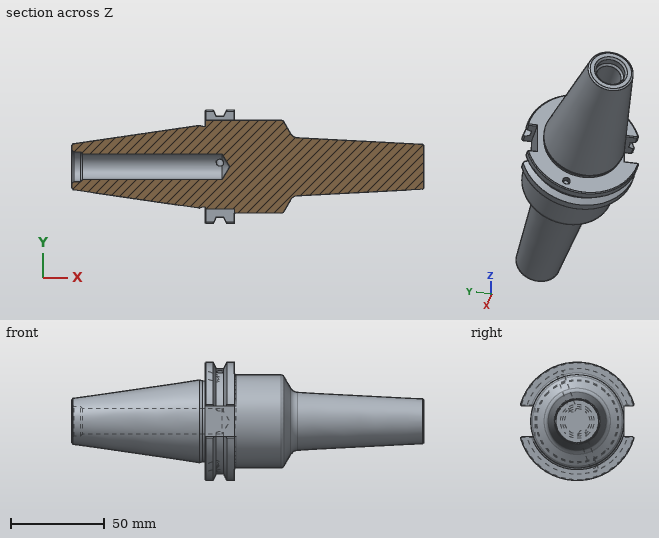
import cadquery as cq
import math

total_length = 188.2
taper_length = 68.3
relief_end = 70.0
flange_start = 71.3
flange_end = 87.0
body_corner = 113.0

gauge_radius = 22.2
taper_on_diameter = 7 / 24
shank_end_radius = gauge_radius - taper_length * taper_on_diameter / 2
neck_radius = 21.6
end_chamfer = 0.5
shank_end_bevel = 1.0

flange_diameter = 63.5
flange_radius = flange_diameter / 2
flange_chamfer = 0.5
groove_centre = 79.3
groove_floor_radius = 28.2
groove_floor_width = 4.0
groove_mouth_width = 7.3

slot_width = 16.2
slot_floor_minus_y = 22.5
slot_floor_plus_y = 25.0
slot_mouth_chamfer = 1.1
slot_face_chamfer = 0.5

body_diameter = 49.9
body_radius = body_diameter / 2
body_root_fillet = 1.0
shoulder_angle = 60.0
shoulder_outer_fillet = 1.9
shoulder_inner_fillet = 4.3
nose_end_radius = 12.0
nose_angle = 3.0

cut_clearance = 1.9
pick_margin = 0.2

bore_mouth_chamfer = 1.1
counterbore_radius = 8.0
bore_mouth_radius = counterbore_radius + bore_mouth_chamfer
counterbore_depth = 4.7
bore_radius = 6.8
bore_start = counterbore_depth + counterbore_radius - bore_radius
bore_depth = 80.4
bore_tip_angle = 118.0

coolant_diameter = 4.0
coolant_radius = coolant_diameter / 2
coolant_roll = 20.0
coolant_entry_radius = 26.7
coolant_slant = 20.0


def revolve_about_x(points):
    """Solid of revolution about X from (x, radius) points."""
    return cq.Workplane("XY").polyline(points).close().revolve(360, (0, 0, 0), (1, 0, 0))


def make_shank():
    return revolve_about_x([
        (0, 0),
        (0, shank_end_radius - shank_end_bevel),
        (end_chamfer, shank_end_radius + end_chamfer * taper_on_diameter / 2),
        (taper_length, gauge_radius),
        (relief_end, neck_radius),
        (flange_start, neck_radius),
        (flange_start, 0),
    ])


def make_flange():
    """Grooved flange, with a fillet ring at its back face that blends into the body."""
    fillet_end = flange_end + body_root_fillet
    fillet_top = body_radius + body_root_fillet
    fillet_middle = body_root_fillet * (1 - math.sqrt(0.5))
    profile = (
        cq.Workplane("XY")
        .moveTo(flange_start, 0)
        .lineTo(flange_start, flange_radius - flange_chamfer)
        .lineTo(flange_start + flange_chamfer, flange_radius)
        .lineTo(groove_centre - groove_mouth_width / 2, flange_radius)
        .lineTo(groove_centre - groove_floor_width / 2, groove_floor_radius)
        .lineTo(groove_centre + groove_floor_width / 2, groove_floor_radius)
        .lineTo(groove_centre + groove_mouth_width / 2, flange_radius)
        .lineTo(flange_end, flange_radius)
        .lineTo(flange_end, fillet_top)
        .threePointArc(
            (flange_end + fillet_middle, body_radius + fillet_middle),
            (fillet_end, body_radius),
        )
        .lineTo(fillet_end, 0)
        .close()
    )
    return profile.revolve(360, (0, 0, 0), (1, 0, 0))


def make_slot(side, floor):
    """Driving slot on the +Y (side 1) or -Y (side -1) flank.

    The walls flare out at the rim of the flange and at its front face.
    """
    half = slot_width / 2
    flare_start = math.sqrt(flange_radius**2 - half**2) - slot_mouth_chamfer
    outer = flange_radius + cut_clearance
    flare_half = half + outer - flare_start
    outline = [
        (side * floor, -half),
        (side * flare_start, -half),
        (side * outer, -flare_half),
        (side * outer, flare_half),
        (side * flare_start, half),
        (side * floor, half),
    ]
    length = flange_end + body_root_fillet - flange_start
    slot = cq.Workplane("YZ", origin=(flange_start, 0, 0)).polyline(outline).close().extrude(length)
    face_half = half + slot_face_chamfer
    face_chamfer = (
        cq.Workplane("XZ", origin=(0, side * floor, 0))
        .polyline([
            (flange_start, -face_half),
            (flange_start + slot_face_chamfer, -half),
            (flange_start + slot_face_chamfer, half),
            (flange_start, face_half),
        ])
        .close()
        .extrude(-side * (outer - floor))
    )
    return slot.union(face_chamfer)


def make_body():
    """Cylindrical body, steep shoulder and slender nose."""
    nose_slope = math.tan(math.radians(nose_angle))
    shoulder_slope = math.tan(math.radians(shoulder_angle))
    nose_radius_at_corner = nose_end_radius + (total_length - body_corner) * nose_slope
    shoulder_length = (body_radius - nose_radius_at_corner) / (shoulder_slope - nose_slope)
    nose_start = body_corner + shoulder_length
    nose_start_radius = body_radius - shoulder_length * shoulder_slope
    body = revolve_about_x([
        (flange_end, 0),
        (flange_end, body_radius),
        (body_corner, body_radius),
        (nose_start, nose_start_radius),
        (total_length - end_chamfer, nose_end_radius + end_chamfer * nose_slope),
        (total_length, nose_end_radius - end_chamfer),
        (total_length, 0),
    ])
    for x, radius, fillet in [
        (body_corner, body_radius, shoulder_outer_fillet),
        (nose_start, nose_start_radius, shoulder_inner_fillet),
    ]:
        corner = cq.selectors.BoxSelector(
            (x - pick_margin, -radius, -radius),
            (x + pick_margin, radius, radius),
        )
        body = body.edges(corner).fillet(fillet)
    return body


def make_bore():
    tip_length = bore_radius / math.tan(math.radians(bore_tip_angle / 2))
    return revolve_about_x([
        (0, 0),
        (0, bore_mouth_radius),
        (bore_mouth_chamfer, counterbore_radius),
        (counterbore_depth, counterbore_radius),
        (bore_start, bore_radius),
        (bore_depth, bore_radius),
        (bore_depth + tip_length, 0),
    ])


def make_coolant_holes():
    """Radial hole from the groove to the bore, fed by a slanted hole from the flange face."""
    radial = (
        cq.Workplane("XY", origin=(groove_centre, 0, 0))
        .circle(coolant_radius)
        .extrude(flange_radius)
    )
    slant = math.radians(coolant_slant)
    inward = cq.Vector(math.cos(slant), 0, -math.sin(slant))
    entry = cq.Vector(flange_start, 0, coolant_entry_radius)
    reach = (groove_centre - flange_start) / math.cos(slant)
    overrun = coolant_radius * math.tan(slant)
    slanted = cq.Solid.makeCylinder(coolant_radius, reach + overrun, entry - inward * overrun, inward)
    pair = radial.union(cq.Workplane(slanted))
    first = pair.rotate((0, 0, 0), (1, 0, 0), coolant_roll)
    return first.union(first.rotate((0, 0, 0), (1, 0, 0), 180))


flange = make_flange()
flange = flange.cut(make_slot(-1, slot_floor_minus_y)).cut(make_slot(1, slot_floor_plus_y))
holder = make_shank().union(flange).union(make_body())
result = holder.cut(make_bore()).cut(make_coolant_holes())